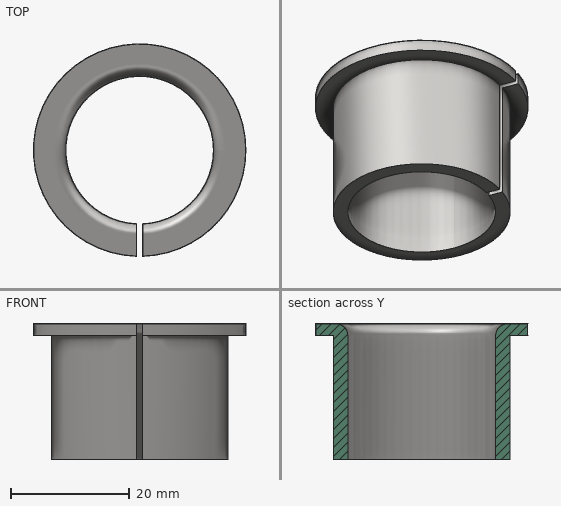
import cadquery as cq

flange_diameter = 36.0
body_diameter = 30.0
bore_diameter = 25.0
total_height = 23.0
flange_thickness = 2.0
mouth_radius = 2.0
slot_width = 1.0

body_height = total_height - flange_thickness


def flanged_sleeve():
    """Sleeve standing on Z = 0 with a flange at its top and a through bore."""
    body = cq.Workplane("XY").circle(body_diameter / 2).extrude(body_height)
    flange = (
        cq.Workplane("XY")
        .workplane(offset=body_height)
        .circle(flange_diameter / 2)
        .extrude(flange_thickness)
    )
    bore = cq.Workplane("XY").circle(bore_diameter / 2).extrude(total_height)
    return body.union(flange).cut(bore)


def round_bore_mouth(sleeve):
    """Round the upper edge of the bore."""
    mouth_edge = sleeve.faces(">Z").edges(cq.selectors.RadiusNthSelector(0))
    return mouth_edge.fillet(mouth_radius)


def split_slot():
    """Full-height cutter that splits the wall on the -Y side."""
    slot_length = flange_diameter / 2
    return cq.Workplane("XY").box(
        slot_width, slot_length, total_height, centered=(True, False, False)
    ).translate((0, -slot_length, 0))


result = round_bore_mouth(flanged_sleeve()).cut(split_slot())